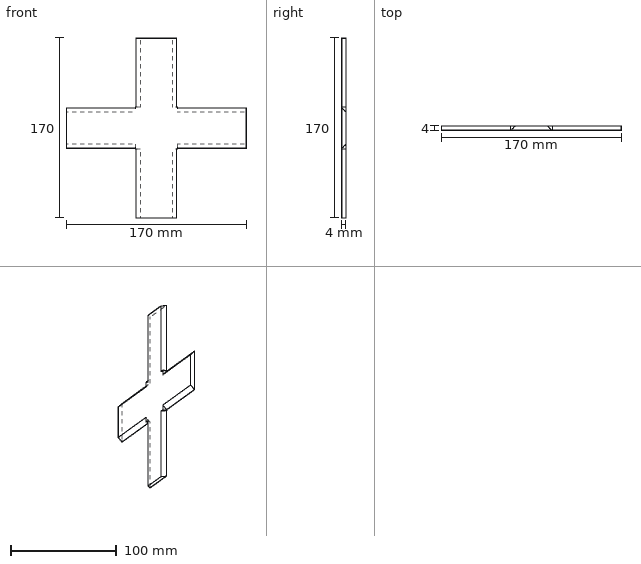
import cadquery as cq

span = 170.0
thickness = 4.0
arm_width = 38.5
hub_width = 39.6
bevel_run = thickness

half_front = arm_width / 2
half_back = half_front - bevel_run
front_y = -thickness / 2
back_y = thickness / 2

upright = (
    cq.Workplane("XY")
    .workplane(offset=-span / 2)
    .polyline([
        (-half_front, front_y),
        (half_front, front_y),
        (half_back, back_y),
        (-half_back, back_y),
    ])
    .close()
    .extrude(span)
)

crossbar = upright.rotate((0, 0, 0), (0, 1, 0), 90)

hub = cq.Workplane("XY").box(hub_width, thickness, hub_width)

result = upright.union(crossbar).union(hub)